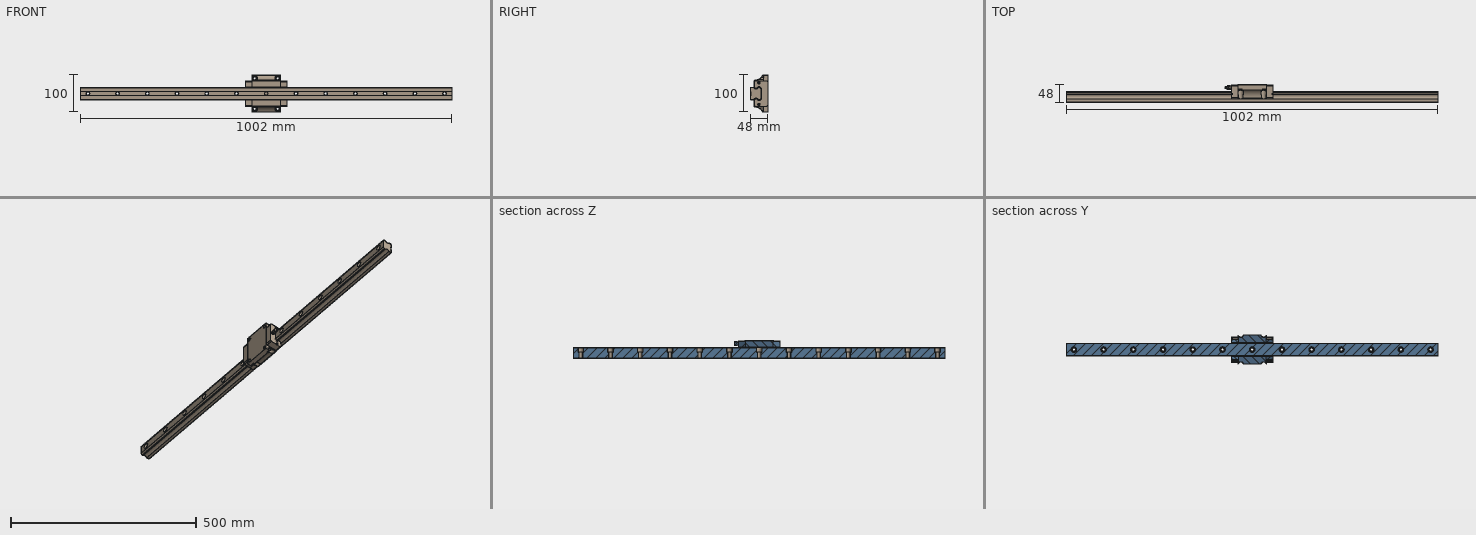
import cadquery as cq
import math


RAIL_LENGTH = 1002.0
RAIL_HEIGHT = 29.0
RAIL_HALF_WIDTH = 17.0
RACEWAY_DEPTH = 4.0
FOOT_CHAMFER = 1.5
FOOT_HEIGHT = 9.0
HEAD_BOTTOM = 22.0
HEAD_CHAMFER = 4.0
GROOVE_WIDTH = 10.0
GROOVE_DEPTH = 1.0

HOLE_PITCH = 80.0
HOLE_COUNT = 13
HOLE_DIAMETER = 9.0
BORE_DIAMETER = 14.0
BORE_DEPTH = 12.0

CARRIAGE_TOP = 48.0
CARRIAGE_BOTTOM = 10.0
RUNNING_GAP = 1.0
BLOCK_LENGTH = 76.0
BODY_WIDTH = 72.0
BODY_CHAMFER = 2.0
FLANGE_WIDTH = 100.0
FLANGE_THICKNESS = 12.0
BOLT_SPACING_X = 62.0
BOLT_SPACING_Z = 82.0
BOLT_HOLE_DIAMETER = 8.5
BOLT_POCKET_DIAMETER = 15.0

CAP_LENGTH = 18.0
CAP_WIDTH = 69.0
CAP_TOP = 47.0
CAP_CHAMFER = 3.0
SCREW_BORE_DIAMETER = 6.0
SCREW_BORE_DEPTH = 3.0
SCREW_HOLE_DIAMETER = 3.2
SCREW_Y = 23.0
SCREW_SPACING = 58.0

NIPPLE_Y = 40.0
STEM_DIAMETER = 9.0
STEM_LENGTH = 4.0
HEX_DIAMETER = 11.0
HEX_LENGTH = 6.0
HEAD_START = 7.0
HEAD_DIAMETER = 6.0
HEAD_LENGTH = 9.0
TIP_DIAMETER = 4.9
TIP_LENGTH = 3.0

FLANGE_UNDERSIDE = CARRIAGE_TOP - FLANGE_THICKNESS
CAP_END = BLOCK_LENGTH / 2 + CAP_LENGTH

SECTION = cq.Plane(origin=(0, 0, 0), xDir=(0, 0, -1), normal=(1, 0, 0))


def section_at(x):
    return cq.Workplane(SECTION).workplane(offset=x)


def cylinder_y(diameter, x, z, y_start, y_end):
    start = cq.Workplane("XZ", origin=(x, y_start, z))
    return start.circle(diameter / 2).extrude(y_start - y_end)


def rail_bar(length, clearance=0.0):
    """Plain rail bar; with a clearance it is the cutter for the carriage tunnel."""
    raceway_middle = (RAIL_HALF_WIDTH - RACEWAY_DEPTH, (FOOT_HEIGHT + HEAD_BOTTOM) / 2)
    half_outline = (
        section_at(-length / 2)
        .moveTo(0, 0)
        .lineTo(RAIL_HALF_WIDTH - FOOT_CHAMFER, 0)
        .lineTo(RAIL_HALF_WIDTH, FOOT_CHAMFER)
        .lineTo(RAIL_HALF_WIDTH, FOOT_HEIGHT)
        .threePointArc(raceway_middle, (RAIL_HALF_WIDTH, HEAD_BOTTOM))
        .lineTo(RAIL_HALF_WIDTH, RAIL_HEIGHT - HEAD_CHAMFER)
        .lineTo(RAIL_HALF_WIDTH - HEAD_CHAMFER, RAIL_HEIGHT)
        .lineTo(0, RAIL_HEIGHT)
    )
    outline = half_outline.mirrorY()
    if clearance:
        outline = outline.offset2D(clearance, "intersection")
    return outline.extrude(length)


def make_rail():
    rail = rail_bar(RAIL_LENGTH)
    groove = cq.Workplane("XY").box(RAIL_LENGTH, 2 * GROOVE_DEPTH, GROOVE_WIDTH)
    rail = rail.cut(groove)
    for index in range(HOLE_COUNT):
        x = (index - (HOLE_COUNT - 1) / 2) * HOLE_PITCH
        rail = rail.cut(cylinder_y(HOLE_DIAMETER, x, 0, 0, RAIL_HEIGHT))
        rail = rail.cut(cylinder_y(BORE_DIAMETER, x, 0, RAIL_HEIGHT - BORE_DEPTH, RAIL_HEIGHT))
    return rail


def make_block():
    half_body = BODY_WIDTH / 2
    half_flange = FLANGE_WIDTH / 2
    cove = FLANGE_UNDERSIDE - CARRIAGE_BOTTOM - BODY_CHAMFER
    cove_z = half_body + cove * (1 - math.sqrt(0.5))
    cove_y = FLANGE_UNDERSIDE - cove * (1 - math.sqrt(0.5))
    edge_drop = cove - math.sqrt(cove**2 - (half_body + cove - half_flange) ** 2)
    block_half = (
        section_at(-BLOCK_LENGTH / 2)
        .moveTo(0, CARRIAGE_BOTTOM)
        .lineTo(half_body - BODY_CHAMFER, CARRIAGE_BOTTOM)
        .lineTo(half_body, CARRIAGE_BOTTOM + BODY_CHAMFER)
        .threePointArc((cove_z, cove_y), (half_flange, FLANGE_UNDERSIDE - edge_drop))
        .lineTo(half_flange, CARRIAGE_TOP)
        .lineTo(0, CARRIAGE_TOP)
        .close()
        .extrude(BLOCK_LENGTH)
    )
    block = block_half.union(block_half.mirror("XY")).cut(rail_bar(BLOCK_LENGTH, RUNNING_GAP))
    for x in (-BOLT_SPACING_X / 2, BOLT_SPACING_X / 2):
        for z in (-BOLT_SPACING_Z / 2, BOLT_SPACING_Z / 2):
            block = block.cut(cylinder_y(BOLT_HOLE_DIAMETER, x, z, FLANGE_UNDERSIDE, CARRIAGE_TOP))
            block = block.cut(cylinder_y(BOLT_POCKET_DIAMETER, x, z, CARRIAGE_BOTTOM, FLANGE_UNDERSIDE))
    return block


def make_cap(side):
    """End cap at the -X end (side = -1) or the +X end (side = 1)."""
    height = CAP_TOP - CARRIAGE_BOTTOM
    middle_x = side * (BLOCK_LENGTH + CAP_LENGTH) / 2
    cap = cq.Workplane("XY").box(CAP_LENGTH, height, CAP_WIDTH).edges("|X").chamfer(CAP_CHAMFER)
    cap = cap.translate((middle_x, CARRIAGE_BOTTOM + height / 2, 0))
    cap = cap.cut(rail_bar(2 * CAP_END, RUNNING_GAP))
    for z in (-SCREW_SPACING / 2, SCREW_SPACING / 2):
        outer_face = cq.Workplane("YZ", origin=(side * CAP_END, SCREW_Y, z))
        cap = cap.cut(outer_face.circle(SCREW_BORE_DIAMETER / 2).extrude(-side * SCREW_BORE_DEPTH))
        cap = cap.cut(outer_face.circle(SCREW_HOLE_DIAMETER / 2).extrude(-side * CAP_LENGTH))
    return cap


def make_nipple():
    """Grease nipple on the -X end cap, its head tilted halfway between -X and +Z."""
    base = cq.Workplane("YZ", origin=(-CAP_END, NIPPLE_Y, 0))
    stem = base.circle(STEM_DIAMETER / 2).extrude(-STEM_LENGTH)
    hexagon = base.workplane(offset=-STEM_LENGTH).polygon(6, HEX_DIAMETER).extrude(-HEX_LENGTH)
    slope = cq.Plane(origin=(-CAP_END - HEAD_START, NIPPLE_Y, 0), xDir=(0, 1, 0), normal=(-1, 0, 1))
    head = cq.Workplane(slope).circle(HEAD_DIAMETER / 2).extrude(HEAD_LENGTH)
    tip = cq.Workplane(slope).circle(TIP_DIAMETER / 2).extrude(HEAD_LENGTH + TIP_LENGTH)
    return stem.union(hexagon).union(head).union(tip)


rail = make_rail()
block = make_block()
caps = [make_cap(side) for side in (-1, 1)]
nipple = make_nipple()

result = cq.Compound.makeCompound([rail.val(), block.val(), *[cap.val() for cap in caps], nipple.val()])